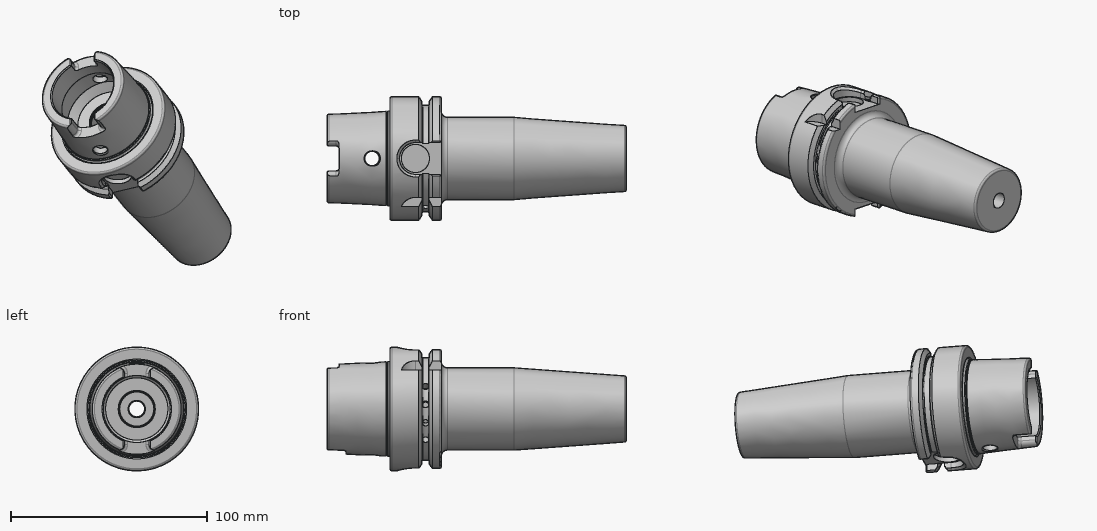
import cadquery as cq
import math

total_length = 152.0
flange_face_x = 31.9
flange_end_x = 58.0
shank_end_x = 94.8

taper_slope = 0.05
taper_end_radius = 24.0
nose_round = 1.0
neck_start_x = 29.8
neck_depth = 0.3
neck_floor_length = 0.5
neck_land_radius = 24.2
neck_fillet = 0.6
face_recess_radius = 25.4
face_recess_depth = 0.5

flange_radius = 31.5
front_round = 1.0
rear_round = 1.0
groove_center_x = 50.0
groove_half_width = 1.8
groove_mouth_half_width = 3.5
groove_floor_radius = 27.2
groove_floor_fillet = 0.5
groove_step_radius = 29.0

shank_radius = 21.0
shank_fillet = 3.0
tip_radius = 16.9
tip_round = 1.0

mouth_radius = 17.0
mouth_chamfer = 0.6
mouth_end_x = 13.0
undercut_radius = 19.8
undercut_angle = 60
bore_floor_x = 30.5
bore_floor_radius = 15.8

seat_radii = (9.5, 8.7)
seat_step_depth = 0.8
seat_depth = 10.0
seat_chamfer = 0.38
through_radius = 4.0
through_chamfer = 0.5

side_hole_x = 22.8
side_hole_radius = 3.6
side_hole_chamfer = 0.6

slot_half_width = 6.2
slot_round = 2.7
slot_shoulder_z = 20.8
slot_floor_fillet = 1.5
slot_mouth_chamfer = 0.68
upper_slot_depth = 6.1
lower_slot_depth = 9.5

keyway_center_x = 44.8
keyway_half_width = 8.0
keyway_floor_z = 26.1
keyway_front_chamfer = 1.4
keyway_rear_chamfer = 0.9
recess_radius = 7.1
recess_depth = 2.5
keyway_edge_margin = 0.2

notch_offset = 19.8
notch_end_radius = 8.0
notch_center_x = 45.0

balance_hole_radius = 1.7
balance_hole_depth = 6.1
balance_hole_angles = (25, 5, -15, -35)

clearance = 3.0


def revolve_about_x(outline):
    return outline.revolve(360, (0, 0, 0), (1, 0, 0))


def turned_below(solid):
    """Half a turn about the X axis."""
    return solid.rotate((0, 0, 0), (1, 0, 0), 180)


def body():
    """Solid of revolution with all outer steps except the V groove."""
    taper_start_radius = taper_end_radius - taper_slope * neck_start_x
    neck_radius = taper_end_radius - neck_depth
    neck_floor_end_x = neck_start_x + neck_depth + neck_floor_length
    land_rise = neck_land_radius - neck_radius
    recess_x = flange_face_x + face_recess_depth
    outline = (
        cq.Workplane("XZ")
        .lineTo(0, taper_start_radius)
        .lineTo(neck_start_x, taper_end_radius)
        .lineTo(neck_start_x + neck_depth, neck_radius)
        .lineTo(neck_floor_end_x, neck_radius)
        .lineTo(neck_floor_end_x + land_rise, neck_land_radius)
        .lineTo(recess_x - neck_fillet, neck_land_radius)
        .radiusArc((recess_x, neck_land_radius + neck_fillet), -neck_fillet)
        .lineTo(flange_face_x, face_recess_radius)
        .lineTo(flange_face_x, flange_radius - front_round)
        .radiusArc((flange_face_x + front_round, flange_radius), front_round)
        .lineTo(flange_end_x - rear_round, flange_radius)
        .radiusArc((flange_end_x, flange_radius - rear_round), rear_round)
        .lineTo(flange_end_x, shank_radius + shank_fillet)
        .radiusArc((flange_end_x + shank_fillet, shank_radius), -shank_fillet)
        .lineTo(shank_end_x, shank_radius)
        .lineTo(total_length - tip_round, tip_radius)
        .radiusArc((total_length, tip_radius - tip_round), tip_round)
        .lineTo(total_length, 0)
        .close()
    )
    return revolve_about_x(outline).faces("<X").edges().fillet(nose_round)


def groove():
    """Ring cutter for the V groove: sloped mouth, straight walls and filleted floor corners."""
    outer_radius = flange_radius + clearance
    fillet = groove_floor_fillet
    fillet_top = groove_floor_radius + fillet
    outline = (
        cq.Workplane("XZ", origin=(groove_center_x, 0, 0))
        .moveTo(-groove_mouth_half_width, outer_radius)
        .lineTo(-groove_mouth_half_width, flange_radius)
        .lineTo(-groove_half_width, groove_step_radius)
        .lineTo(-groove_half_width, fillet_top)
        .radiusArc((fillet - groove_half_width, groove_floor_radius), -fillet)
        .lineTo(groove_half_width - fillet, groove_floor_radius)
        .radiusArc((groove_half_width, fillet_top), -fillet)
        .lineTo(groove_half_width, groove_step_radius)
        .lineTo(groove_mouth_half_width, flange_radius)
        .lineTo(groove_mouth_half_width, outer_radius)
        .close()
    )
    return revolve_about_x(outline)


def axial_bores():
    """Undercut clamping bore, stepped seat and hole through to the tip."""
    undercut_slope = math.tan(math.radians(undercut_angle))
    undercut_start_x = mouth_end_x + (undercut_radius - mouth_radius) / undercut_slope
    undercut_end_x = bore_floor_x - (undercut_radius - bore_floor_radius)
    outer_seat, inner_seat = seat_radii
    seat_step_x = bore_floor_x + seat_step_depth
    seat_end_x = bore_floor_x + seat_depth
    outline = (
        cq.Workplane("XZ")
        .lineTo(0, mouth_radius + mouth_chamfer)
        .lineTo(mouth_chamfer, mouth_radius)
        .lineTo(mouth_end_x, mouth_radius)
        .lineTo(undercut_start_x, undercut_radius)
        .lineTo(undercut_end_x, undercut_radius)
        .lineTo(bore_floor_x, bore_floor_radius)
        .lineTo(bore_floor_x, outer_seat)
        .lineTo(seat_step_x, outer_seat)
        .lineTo(seat_step_x, inner_seat + seat_chamfer)
        .lineTo(seat_step_x + seat_chamfer, inner_seat)
        .lineTo(seat_end_x, inner_seat)
        .lineTo(seat_end_x, through_radius + through_chamfer)
        .lineTo(seat_end_x + through_chamfer, through_radius)
        .lineTo(total_length, through_radius)
        .lineTo(total_length, 0)
        .close()
    )
    return revolve_about_x(outline)


def side_hole():
    """Cutter for the radial hole above the axis, with its outer edge countersunk."""
    surface_z = taper_end_radius - taper_slope * (neck_start_x - side_hole_x)
    outline = (
        cq.Workplane("XZ", origin=(side_hole_x, 0, 0))
        .lineTo(side_hole_radius, 0)
        .lineTo(side_hole_radius, surface_z - side_hole_chamfer)
        .lineTo(side_hole_radius + side_hole_chamfer, surface_z)
        .lineTo(side_hole_radius + side_hole_chamfer, surface_z + clearance)
        .lineTo(0, surface_z + clearance)
        .close()
    )
    return outline.revolve(360, (0, 0, 0), (0, 1, 0))


def drive_slot(depth):
    """Cutter for a slot above the axis: flared walls, filleted floor corners, chamfered mouth."""
    flare_start_z = slot_shoulder_z - slot_round
    shoulder_y = slot_half_width + slot_round
    cutter = (
        cq.Workplane("YZ")
        .moveTo(-slot_half_width, 0)
        .lineTo(-slot_half_width, flare_start_z)
        .radiusArc((-shoulder_y, slot_shoulder_z), -slot_round)
        .lineTo(-shoulder_y, flange_radius)
        .lineTo(shoulder_y, flange_radius)
        .lineTo(shoulder_y, slot_shoulder_z)
        .radiusArc((slot_half_width, flare_start_z), -slot_round)
        .lineTo(slot_half_width, 0)
        .close()
        .extrude(depth)
    )
    wall_corners = cq.selectors.BoxSelector(
        (depth - clearance, -shoulder_y, clearance),
        (depth + clearance, shoulder_y, slot_shoulder_z),
    )
    cutter = cutter.faces(">X").edges(wall_corners).fillet(slot_floor_fillet)
    mouth_half_width = slot_half_width + slot_mouth_chamfer
    mouth = (
        cq.Workplane("XY")
        .moveTo(0, -mouth_half_width)
        .lineTo(0, mouth_half_width)
        .lineTo(slot_mouth_chamfer, slot_half_width)
        .lineTo(slot_mouth_chamfer, -slot_half_width)
        .close()
        .extrude(flange_radius)
    )
    return cutter.union(mouth)


def keyway():
    """Cutter for the round-ended keyway above the axis."""
    open_end_x = flange_end_x + clearance
    return (
        cq.Workplane("XY", origin=(0, 0, keyway_floor_z))
        .moveTo(keyway_center_x, keyway_half_width)
        .threePointArc((keyway_center_x - keyway_half_width, 0), (keyway_center_x, -keyway_half_width))
        .lineTo(open_end_x, -keyway_half_width)
        .lineTo(open_end_x, keyway_half_width)
        .close()
        .extrude(flange_radius)
    )


def keyway_edges(start_x, end_x):
    """Selects keyway edges on the flange rim whose middle lies between two X stations."""
    edge_z = math.sqrt(flange_radius**2 - keyway_half_width**2)
    margin = keyway_edge_margin
    low_z = edge_z - margin
    high_z = flange_radius + margin
    half_width = keyway_half_width + margin
    upper = cq.selectors.BoxSelector((start_x, -half_width, low_z), (end_x, half_width, high_z))
    lower = cq.selectors.BoxSelector((start_x, -half_width, -high_z), (end_x, half_width, -low_z))
    return upper + lower


def keyway_recess():
    """Cutter for the round recess in the keyway floor."""
    return (
        cq.Workplane("XY", origin=(keyway_center_x, 0, keyway_floor_z - recess_depth))
        .circle(recess_radius)
        .extrude(recess_depth + clearance)
    )


def orientation_notch():
    """Cutter for the corner notch on the -Y, +Z side of the flange, rounded at its inner end."""
    open_end_x = flange_end_x + clearance
    round_center_y = -notch_offset - notch_end_radius
    round_end_x = notch_center_x - notch_end_radius
    outer_y = -flange_radius - clearance
    return (
        cq.Workplane("XY", origin=(0, 0, notch_offset))
        .moveTo(open_end_x, -notch_offset)
        .lineTo(notch_center_x, -notch_offset)
        .radiusArc((round_end_x, round_center_y), -notch_end_radius)
        .lineTo(round_end_x, outer_y)
        .lineTo(open_end_x, outer_y)
        .close()
        .extrude(flange_radius)
    )


def balance_hole(angle):
    """Cutter for a radial hole in the groove floor, at an angle in degrees from -Y toward +Z."""
    hole = (
        cq.Workplane("XZ", origin=(groove_center_x, balance_hole_depth - groove_floor_radius, 0))
        .circle(balance_hole_radius)
        .extrude(balance_hole_depth)
    )
    return hole.rotate((0, 0, 0), (1, 0, 0), -angle)


result = body().cut(groove())
for cutter in (keyway(), turned_below(keyway())):
    result = result.cut(cutter)
front_edges = keyway_edges(flange_face_x, groove_center_x - groove_mouth_half_width)
rear_edges = keyway_edges(groove_center_x + groove_mouth_half_width, flange_end_x - rear_round)
result = result.edges(front_edges).chamfer(keyway_front_chamfer)
result = result.edges(rear_edges).chamfer(keyway_rear_chamfer)
for cutter in (keyway_recess(), turned_below(keyway_recess())):
    result = result.cut(cutter)
result = result.cut(orientation_notch())
for hole_angle in balance_hole_angles:
    result = result.cut(balance_hole(hole_angle))

result = result.cut(axial_bores())
for cutter in (side_hole(), turned_below(side_hole())):
    result = result.cut(cutter)
result = result.cut(drive_slot(upper_slot_depth))
result = result.cut(turned_below(drive_slot(lower_slot_depth)))